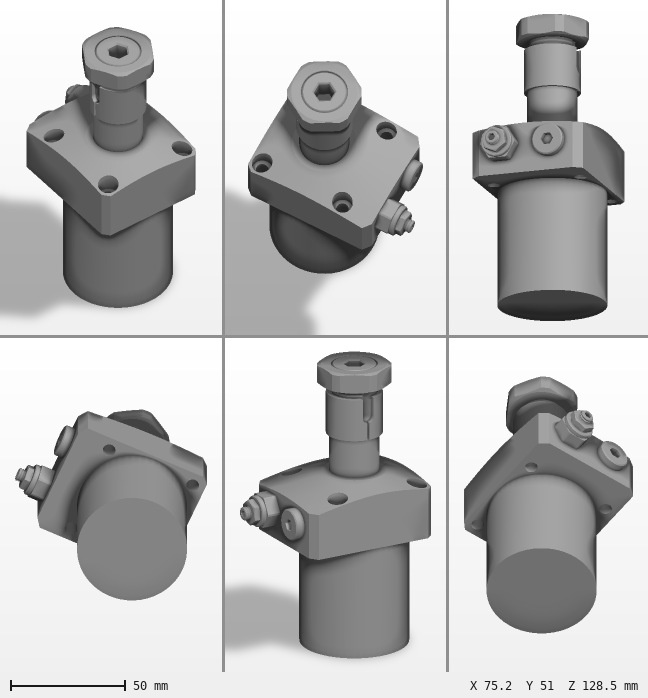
import cadquery as cq
import math

TOTAL_HEIGHT = 128.5

CYLINDER_DIAMETER = 48.0
CYLINDER_HEIGHT = 51.0
BLOCK_WIDTH = 51.0
BLOCK_LENGTH = 61.0
BLOCK_HEIGHT = 28.1
BLOCK_RIGHT = BLOCK_WIDTH / 2
BLOCK_LEFT = BLOCK_RIGHT - BLOCK_LENGTH
BLOCK_TOP = CYLINDER_HEIGHT + BLOCK_HEIGHT
LEFT_CORNER_CUT = (2.8, 3.9)
RIGHT_CORNER_CUT = (3.1, 2.7)
TOP_FLAT_RADIUS = 14.1
ROOF_ANGLE = 15.0
BOLT_SPACING = 40.0
BOLT_HOLE_DIAMETER = 5.5
BOLT_HEAD_DIAMETER = 9.0
BOLT_SEAT_HEIGHT = 17.7

ROD_DIAMETER = 22.0
NECK_DIAMETER = 20.8
COLLAR_DIAMETER = 24.9
COLLAR_HEIGHT = 19.0
COLLAR_LIP = 1.4
UNDERCUT_DIAMETER = 19.5
UNDERCUT_HEIGHT = 2.0
THREAD_DIAMETER = 20.3
THREAD_PITCH = 1.5
THREAD_DEPTH = 0.4
ROD_END_CHAMFER = 0.9
SOCKET_FLATS = 8.0
SOCKET_DEPTH = 10.3
SOCKET_CHAMFER = 0.6

NUT_HEIGHT = 9.0
NUT_FLATS = 30.1
NUT_CORNER_DIAMETER = 32.6
NUT_FACE_DIAMETER = 28.9
NUT_GAP = 3.9
NUT_BORE_CHAMFER = 0.3
HEX_CHAMFER_ANGLE = 20.0

NUT_BOTTOM = TOTAL_HEIGHT - NUT_HEIGHT
COLLAR_TOP = NUT_BOTTOM - NUT_GAP
COLLAR_BOTTOM = COLLAR_TOP - COLLAR_HEIGHT
NECK_TOP = COLLAR_TOP - COLLAR_LIP
THREAD_BOTTOM = NECK_TOP + UNDERCUT_HEIGHT

GROOVE_DIAMETER = 5.0
GROOVE_AXIS_Y = -11.8
GROOVE_BALL_HEIGHT = COLLAR_BOTTOM + 10.5
SLOT_WIDTH = 5.5
SLIT_WIDTH = 1.2

PORT_OFFSET = 11.0
PORT_HEIGHT = CYLINDER_HEIGHT + 13.0
PLUG_DIAMETER = 14.0
PLUG_LENGTH = 4.0
PLUG_CHAMFER = 0.5
PLUG_SOCKET_FLATS = 5.0
PLUG_SOCKET_DEPTH = 3.0
VALVE_LENGTH = 6.0
VALVE_FLATS = 14.0
VALVE_CORNER_DIAMETER = 15.7
WASHER_DIAMETER = 14.0
WASHER_LENGTH = 2.3
WASHER_CHAMFER = 0.4
LOCKNUT_LENGTH = 3.1
LOCKNUT_FLATS = 10.0
LOCKNUT_FACE_DIAMETER = 9.6
LOCKNUT_TURN = 68.0
SCREW_DIAMETER = 5.9
SCREW_TIP_LENGTH = 2.8
SCREW_CHAMFER = 0.4
SCREW_PITCH = 1.0
SCREW_THREAD_DEPTH = 0.4
SCREW_SOCKET_FLATS = 3.0
SCREW_SOCKET_DEPTH = 2.6


def disc(diameter, bottom, top):
    """Upright cylinder on the Z axis."""
    return cq.Workplane("XY").workplane(offset=bottom).circle(diameter / 2).extrude(top - bottom)


def corner_distance(flats):
    """Distance across the corners of a hexagon."""
    return flats / math.cos(math.radians(30))


def hexagon(flats, bottom, top):
    """Upright hexagonal prism with two corners on the X axis."""
    base = cq.Workplane("XY").workplane(offset=bottom)
    return base.polygon(6, corner_distance(flats)).extrude(top - bottom)


def hex_envelope(corner_diameter, face_diameter, height):
    """Turned blank, coned at both ends, that trims the corners of a hexagon."""
    corner_radius = corner_diameter / 2
    face_radius = face_diameter / 2
    cone_height = (corner_radius - face_radius) * math.tan(math.radians(HEX_CHAMFER_ANGLE))
    profile = [
        (0, 0),
        (face_radius, 0),
        (corner_radius, cone_height),
        (corner_radius, height - cone_height),
        (face_radius, height),
        (0, height),
    ]
    return cq.Workplane("XZ").polyline(profile).close().revolve(360, (0, 0), (0, 1))


def cut_thread(body, diameter, pitch, depth, bottom, top):
    """Cut ring-shaped V grooves, one per pitch, into an upright round body."""
    radius = diameter / 2
    for turn in range(round((top - bottom) / pitch)):
        start = bottom + turn * pitch
        profile = [(radius, start), (radius - depth, start + pitch / 2), (radius, start + pitch)]
        body = body.cut(cq.Workplane("XZ").polyline(profile).close().revolve(360, (0, 0), (0, 1)))
    return body


def mount_on_port(body, side):
    """Move a body built up along +Z so that it points out of the -X face at one port."""
    return body.rotate((0, 0, 0), (0, 1, 0), -90).translate((BLOCK_LEFT, side * PORT_OFFSET, PORT_HEIGHT))


def make_housing():
    half_width = BLOCK_WIDTH / 2
    left_x, left_y = LEFT_CORNER_CUT
    right_x, right_y = RIGHT_CORNER_CUT
    outline = [
        (BLOCK_LEFT + left_x, -half_width),
        (BLOCK_RIGHT - right_x, -half_width),
        (BLOCK_RIGHT, -half_width + right_y),
        (BLOCK_RIGHT, half_width - right_y),
        (BLOCK_RIGHT - right_x, half_width),
        (BLOCK_LEFT + left_x, half_width),
        (BLOCK_LEFT, half_width - left_y),
        (BLOCK_LEFT, -half_width + left_y),
    ]
    block_base = cq.Workplane("XY").workplane(offset=CYLINDER_HEIGHT)
    block = block_base.polyline(outline).close().extrude(BLOCK_HEIGHT)

    roof_radius = BLOCK_LENGTH
    roof_drop = (roof_radius - TOP_FLAT_RADIUS) * math.tan(math.radians(ROOF_ANGLE))
    roof_profile = [
        (0, 0),
        (roof_radius, 0),
        (roof_radius, BLOCK_TOP - roof_drop),
        (TOP_FLAT_RADIUS, BLOCK_TOP),
        (0, BLOCK_TOP),
    ]
    roof = cq.Workplane("XZ").polyline(roof_profile).close().revolve(360, (0, 0), (0, 1))
    housing = block.intersect(roof).union(disc(CYLINDER_DIAMETER, 0, CYLINDER_HEIGHT))

    seat = CYLINDER_HEIGHT + BOLT_SEAT_HEIGHT
    bolt_hole = disc(BOLT_HOLE_DIAMETER, CYLINDER_HEIGHT, BLOCK_TOP).union(
        disc(BOLT_HEAD_DIAMETER, seat, BLOCK_TOP)
    )
    for x in (-BOLT_SPACING / 2, BOLT_SPACING / 2):
        for y in (-BOLT_SPACING / 2, BOLT_SPACING / 2):
            housing = housing.cut(bolt_hole.translate((x, y, 0)))
    return housing


def make_groove():
    """Ball-ended upright cutter for the groove in the rod, reaching up to the nut."""
    shank = disc(GROOVE_DIAMETER, GROOVE_BALL_HEIGHT, NUT_BOTTOM)
    ball = cq.Workplane("XY").sphere(GROOVE_DIAMETER / 2).translate((0, 0, GROOVE_BALL_HEIGHT))
    return shank.union(ball).translate((0, GROOVE_AXIS_Y, 0))


def make_socket():
    """Hexagon socket cutter with a chamfered mouth, two corners on the Y axis."""
    socket = hexagon(SOCKET_FLATS, TOTAL_HEIGHT - SOCKET_DEPTH, TOTAL_HEIGHT)
    mouth = (
        cq.Workplane("XY")
        .workplane(offset=TOTAL_HEIGHT)
        .polygon(6, corner_distance(SOCKET_FLATS + 2 * SOCKET_CHAMFER))
        .workplane(offset=-SOCKET_CHAMFER)
        .polygon(6, corner_distance(SOCKET_FLATS))
        .loft(ruled=True)
    )
    return socket.union(mouth).rotate((0, 0, 0), (0, 0, 1), 90)


def make_rod():
    threaded_end = disc(THREAD_DIAMETER, THREAD_BOTTOM, TOTAL_HEIGHT).faces(">Z").chamfer(ROD_END_CHAMFER)
    threaded_end = cut_thread(
        threaded_end, THREAD_DIAMETER, THREAD_PITCH, THREAD_DEPTH, THREAD_BOTTOM, NUT_BOTTOM
    )
    rod = (
        disc(ROD_DIAMETER, BLOCK_TOP, COLLAR_BOTTOM)
        .union(disc(NECK_DIAMETER, COLLAR_BOTTOM, NECK_TOP))
        .union(disc(UNDERCUT_DIAMETER, NECK_TOP, THREAD_BOTTOM))
        .union(threaded_end)
    )
    return rod.cut(make_groove()).cut(make_socket())


def radial_cutter(width, bottom, top):
    """Upright parallel-sided cutter from the Z axis out past the collar on the -Y side."""
    cutter = cq.Workplane("XY").box(width, COLLAR_DIAMETER, top - bottom, centered=(True, False, False))
    return cutter.translate((0, -COLLAR_DIAMETER, bottom))


def make_collar():
    collar = disc(COLLAR_DIAMETER, COLLAR_BOTTOM, COLLAR_TOP)
    collar = collar.cut(disc(NECK_DIAMETER, COLLAR_BOTTOM, COLLAR_TOP))
    slot = radial_cutter(SLOT_WIDTH, GROOVE_BALL_HEIGHT, COLLAR_TOP)
    slot_end = (
        cq.Workplane("XZ").center(0, GROOVE_BALL_HEIGHT).circle(SLOT_WIDTH / 2).extrude(COLLAR_DIAMETER)
    )
    slit = radial_cutter(SLIT_WIDTH, COLLAR_BOTTOM, GROOVE_BALL_HEIGHT)
    return collar.cut(slot).cut(slot_end).cut(slit)


def make_nut():
    nut = hexagon(NUT_FLATS, 0, NUT_HEIGHT).rotate((0, 0, 0), (0, 0, 1), 90)
    nut = nut.intersect(hex_envelope(NUT_CORNER_DIAMETER, NUT_FACE_DIAMETER, NUT_HEIGHT))
    nut = nut.cut(disc(THREAD_DIAMETER, 0, NUT_HEIGHT))
    bore_rim = cq.selectors.RadiusNthSelector(0)
    nut = nut.faces(">Z").edges(bore_rim).chamfer(NUT_BORE_CHAMFER)
    return nut.translate((0, 0, NUT_BOTTOM))


WASHER_START = VALVE_LENGTH
LOCKNUT_START = WASHER_START + WASHER_LENGTH
LOCKNUT_END = LOCKNUT_START + LOCKNUT_LENGTH
SCREW_END = LOCKNUT_END + SCREW_TIP_LENGTH


def make_plug():
    plug = disc(PLUG_DIAMETER, 0, PLUG_LENGTH).faces(">Z").chamfer(PLUG_CHAMFER)
    socket = hexagon(PLUG_SOCKET_FLATS, PLUG_LENGTH - PLUG_SOCKET_DEPTH, PLUG_LENGTH)
    return plug.cut(socket.rotate((0, 0, 0), (0, 0, 1), 90))


def make_valve_body():
    valve = hexagon(VALVE_FLATS, 0, VALVE_LENGTH).rotate((0, 0, 0), (0, 0, 1), 90)
    return valve.intersect(disc(VALVE_CORNER_DIAMETER, 0, VALVE_LENGTH))


def make_washer():
    washer = disc(WASHER_DIAMETER, WASHER_START, LOCKNUT_START).edges().chamfer(WASHER_CHAMFER)
    return washer.cut(disc(SCREW_DIAMETER, WASHER_START, LOCKNUT_START))


def make_locknut():
    locknut = hexagon(LOCKNUT_FLATS, 0, LOCKNUT_LENGTH)
    locknut = locknut.intersect(
        hex_envelope(corner_distance(LOCKNUT_FLATS), LOCKNUT_FACE_DIAMETER, LOCKNUT_LENGTH)
    )
    locknut = locknut.cut(disc(SCREW_DIAMETER, 0, LOCKNUT_LENGTH))
    return locknut.rotate((0, 0, 0), (0, 0, 1), LOCKNUT_TURN).translate((0, 0, LOCKNUT_START))


def make_screw():
    screw = disc(SCREW_DIAMETER, VALVE_LENGTH, SCREW_END).faces(">Z").chamfer(SCREW_CHAMFER)
    screw = cut_thread(
        screw, SCREW_DIAMETER, SCREW_PITCH, SCREW_THREAD_DEPTH, LOCKNUT_END, SCREW_END - SCREW_CHAMFER
    )
    socket = hexagon(SCREW_SOCKET_FLATS, SCREW_END - SCREW_SOCKET_DEPTH, SCREW_END)
    return screw.cut(socket.rotate((0, 0, 0), (0, 0, 1), 90))


housing = make_housing()
rod = make_rod()
collar = make_collar()
nut = make_nut()
plug = mount_on_port(make_plug(), -1)
valve_body = mount_on_port(make_valve_body(), 1)
washer = mount_on_port(make_washer(), 1)
locknut = mount_on_port(make_locknut(), 1)
screw = mount_on_port(make_screw(), 1)

result = cq.Compound.makeCompound([
    housing.solids().val(),
    rod.solids().val(),
    collar.solids().val(),
    nut.solids().val(),
    plug.solids().val(),
    valve_body.solids().val(),
    washer.solids().val(),
    locknut.solids().val(),
    screw.solids().val(),
])